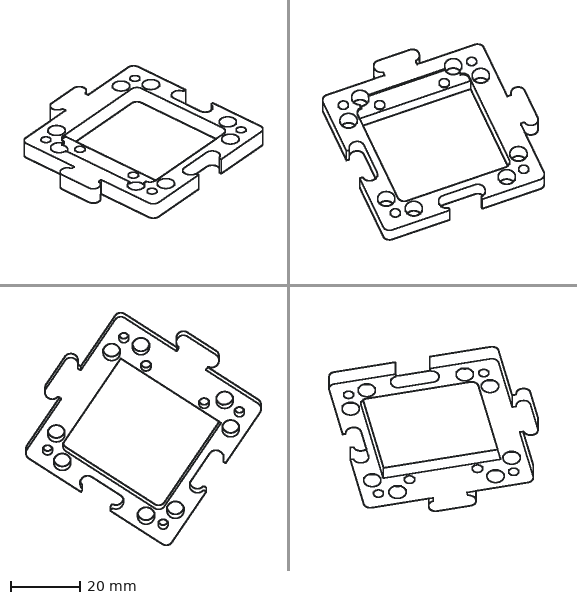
import cadquery as cq

overall_side = 55.4
frame_side = 50.0
thickness = 5.1
window_side = 34.6
corner_radius = 2.0

neck_width = 10.1
neck_fillet = 0.45
tab_width = 13.9
tab_reach = overall_side - frame_side
tab_head_height = 4.15
tab_lobe_radius = corner_radius
socket_width = 14.1
socket_depth = 5.45
socket_head_height = 4.45
socket_lobe_radius = 2.1

large_hole_diameter = 5.0
large_hole_near = 14.45
large_hole_far = 20.55
small_hole_diameter = 2.9
small_hole_offset = 19.95

recess_depth = 0.7
lip_width = 3.0
slot_length = 30.9
slot_width = 3.2
lip_hole_diameter = 3.0
lip_hole_spacing = 20.05
lip_hole_y = -16.5

half_frame = frame_side / 2
half_window = window_side / 2
recess_floor = thickness - recess_depth


def block(x_size, y_size, height, y_centre=0.0):
    """Box standing on Z = 0, centred on X = 0."""
    return cq.Workplane("XY").center(0, y_centre).rect(x_size, y_size).extrude(height)


def rounded_block(x_size, y_size, radius, y_centre=0.0):
    """Full-thickness block with rounded vertical edges."""
    return block(x_size, y_size, thickness, y_centre).edges("|Z").fillet(radius)


def connector(width, reach, head_height, lobe_radius):
    """Neck and rounded head standing out from the -Y edge of the frame."""
    head_y = -half_frame - reach + head_height / 2
    head_top = head_y + head_height / 2
    head = rounded_block(width, head_height, lobe_radius, head_y)
    neck = block(neck_width, -half_frame - head_y, thickness, (head_y - half_frame) / 2)
    inner_corners = cq.selectors.BoxSelector(
        (-neck_width, head_top - neck_fillet / 2, 0),
        (neck_width, head_top + neck_fillet / 2, thickness),
    )
    return head.union(neck).edges("|Z").edges(inner_corners).fillet(neck_fillet)


def turned(shape):
    """Quarter turn clockwise about Z: carries -Y to -X and +Y to +X."""
    return shape.rotate((0, 0, 0), (0, 0, 1), -90)


def add_tabs(body):
    tab = connector(tab_width, tab_reach, tab_head_height, tab_lobe_radius)
    return body.union(tab).union(turned(tab))


def cut_sockets(body):
    socket = connector(socket_width, socket_depth, socket_head_height, socket_lobe_radius)
    socket = socket.translate((0, frame_side, 0))
    return body.cut(socket).cut(turned(socket))


def cut_window(body):
    """Window through the frame, leaving the lip along its -Y side."""
    window = rounded_block(window_side, window_side, corner_radius)
    lip = block(window_side, lip_width, recess_floor, -half_window + lip_width / 2)
    return body.cut(window.cut(lip))


def cut_slot(body):
    """Slot level with the lip; skipping the clean-up keeps the seam between the two floors."""
    slot = block(slot_length, slot_width, recess_depth, -half_window - slot_width / 2)
    return body.cut(slot.translate((0, 0, recess_floor)), clean=False)


def drill(body, points, diameter):
    holes = cq.Workplane("XY").pushPoints(points).circle(diameter / 2).extrude(thickness)
    return body.cut(holes)


def four_corners(x, y):
    return [(x_side * x, y_side * y) for x_side in (-1, 1) for y_side in (-1, 1)]


lip_hole_points = [(side * lip_hole_spacing / 2, lip_hole_y) for side in (-1, 1)]

body = rounded_block(frame_side, frame_side, corner_radius)
body = add_tabs(body)
body = cut_sockets(body)
body = cut_window(body)
body = drill(body, four_corners(large_hole_near, large_hole_far), large_hole_diameter)
body = drill(body, four_corners(large_hole_far, large_hole_near), large_hole_diameter)
body = drill(body, four_corners(small_hole_offset, small_hole_offset), small_hole_diameter)
body = drill(body, lip_hole_points, lip_hole_diameter)
result = cut_slot(body)